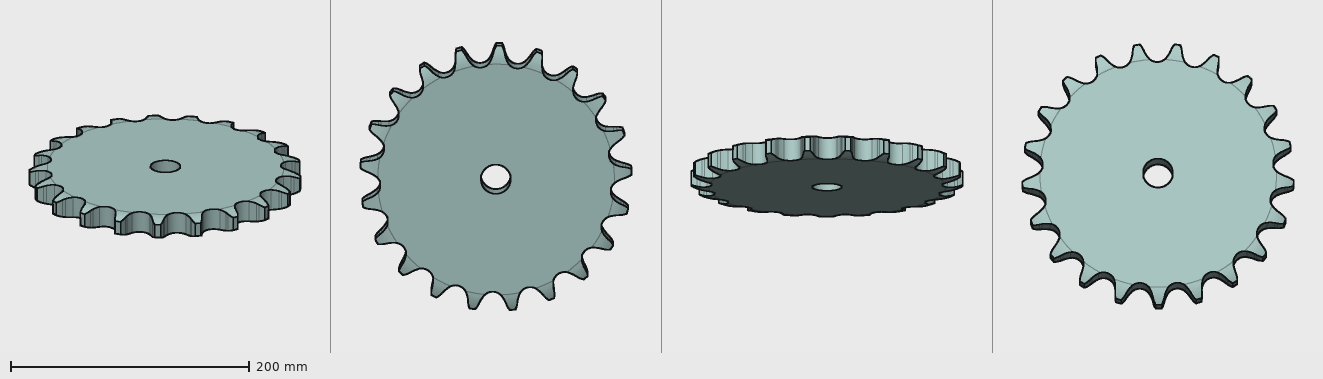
import math

import cadquery as cq

tooth_count = 21
overall_width = 227.9
thickness = 18.5
bore_diameter = 25.0

pitch_diameter = 213.0
roller_diameter = 19.1
tip_half_angle = 1.2

face_radius = 99.3
crown_drop = 3.5

tooth_angle = 360 / tooth_count
pitch_radius = pitch_diameter / 2

widest_tooth_angle = tooth_angle / 4
tip_radius = overall_width / 2 / math.cos(math.radians(widest_tooth_angle - tip_half_angle))

seat_radius = 1.005 * roller_diameter / 2
flank_radius = 1.3025 * roller_diameter
seat_half_angle = 90 - (35 + 60 / tooth_count)
flank_sweep = 18 - 56 / tooth_count
flat_length = roller_diameter * (
    1.4 * math.sin(math.radians(17 - 64 / tooth_count))
    - 0.8 * math.sin(math.radians(flank_sweep))
)


def arc_point(center_x, center_y, radius, angle):
    """Point on a circle, with the angle in degrees turned from -Y towards +X."""
    turn = math.radians(angle)
    return (center_x + radius * math.sin(turn), center_y - radius * math.cos(turn))


def make_blank():
    """Bored disc whose rim curves away tangentially from both flat faces."""
    bore_radius = bore_diameter / 2
    half_thickness = thickness / 2
    half_tip = half_thickness - crown_drop
    upper_half = (
        cq.Workplane("XZ")
        .moveTo(bore_radius, 0)
        .lineTo(bore_radius, half_thickness)
        .lineTo(face_radius, half_thickness)
        .tangentArcPoint((tip_radius, half_tip), relative=False)
        .lineTo(tip_radius, 0)
        .close()
        .revolve(360, (0, 0, 0), (0, 1, 0))
    )
    return upper_half.union(upper_half.mirror("XY"))


def make_gap_cutter():
    """Tooth gap centred on +Y: roller seat, hollow flanks, flats and rounded tooth tips."""
    seat_bottom = (0, pitch_radius - seat_radius)
    seat_middle = arc_point(0, pitch_radius, seat_radius, seat_half_angle / 2)
    seat_end = arc_point(0, pitch_radius, seat_radius, seat_half_angle)

    flank_center = arc_point(0, pitch_radius, seat_radius - flank_radius, seat_half_angle)
    flank_end_angle = seat_half_angle + flank_sweep
    flank_middle = arc_point(*flank_center, flank_radius, seat_half_angle + flank_sweep / 2)
    flank_end = arc_point(*flank_center, flank_radius, flank_end_angle)

    flat_end = arc_point(*flank_end, flat_length, flank_end_angle + 90)
    tip_corner_angle = 180 - (tooth_angle / 2 - tip_half_angle)
    tip_corner = arc_point(0, 0, tip_radius, tip_corner_angle)

    outer_radius = tip_radius + seat_radius
    outer_corner = arc_point(0, 0, outer_radius, tip_corner_angle)
    return (
        cq.Workplane("XY")
        .workplane(offset=-thickness)
        .moveTo(*seat_bottom)
        .threePointArc(seat_middle, seat_end)
        .threePointArc(flank_middle, flank_end)
        .lineTo(*flat_end)
        .tangentArcPoint(tip_corner, relative=False)
        .lineTo(*outer_corner)
        .lineTo(0, outer_radius)
        .mirrorY()
        .extrude(2 * thickness)
    )


result = make_blank()
gap_cutter = make_gap_cutter()
for gap in range(tooth_count):
    result = result.cut(gap_cutter.rotate((0, 0, 0), (0, 0, 1), gap * tooth_angle))